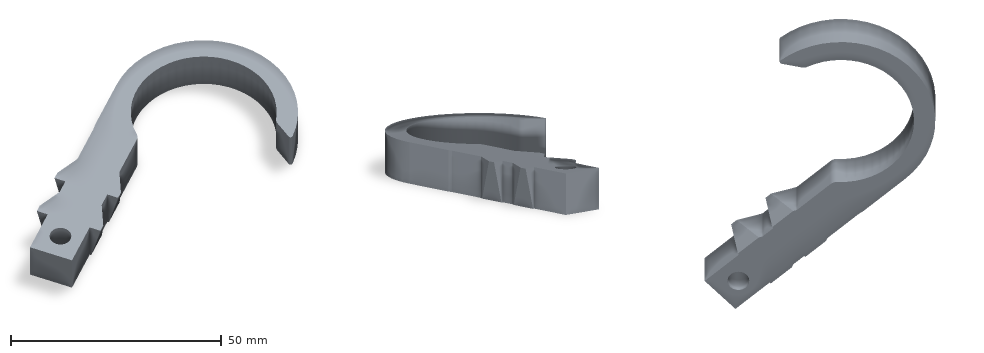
import cadquery as cq
import math

thickness = 10.0
total_length = 77.05
stem_half_width = 5.4

outer_radius = 22.4
inner_radius = 17.3
hook_center_x = 16.9
hook_center_y = total_length - outer_radius
hook_left_x = hook_center_x - outer_radius
hook_right_x = hook_center_x + outer_radius
throat_radius = 2.3
step_top_y = 41.1
step_bottom_y = 39.9
tip_inner_rise = 3.85
tip_radius = 0.55
tip_inner_radius = 1.9

barb_half_width = 8.2
barb_bottom_half_width = 5.8
barb_shoulder_y = 11.1
barb_pitch = 11.1
barb_count = 2
barb_length = 7.55
barb_rim_length = 1.8

hole_diameter = 5.2
hole_y = 5.9


def hook_point(radius, angle):
    """Point on a circle about the hook center."""
    return hook_center_x + radius * math.cos(angle), hook_center_y + radius * math.sin(angle)


def make_body():
    """Stem and hook as one flat plate."""
    throat_x = stem_half_width - throat_radius
    throat_distance = inner_radius + throat_radius
    throat_drop = math.sqrt(throat_distance**2 - (hook_center_x - throat_x) ** 2)
    throat_y = hook_center_y - throat_drop
    throat_angle = math.pi + math.asin(throat_drop / throat_distance)
    throat_mid_angle = (throat_angle - math.pi) / 2
    throat_mid = (
        throat_x + throat_radius * math.cos(throat_mid_angle),
        throat_y + throat_radius * math.sin(throat_mid_angle),
    )
    tip_angle = math.asin(tip_inner_rise / inner_radius)
    tip_inner = hook_point(inner_radius, tip_angle)
    tip_outer = (hook_right_x, hook_center_y)

    body = (
        cq.Workplane("XY")
        .moveTo(-stem_half_width, 0)
        .lineTo(stem_half_width, 0)
        .lineTo(stem_half_width, throat_y)
        .threePointArc(throat_mid, hook_point(inner_radius, throat_angle))
        .threePointArc(hook_point(inner_radius, (throat_angle + tip_angle) / 2), tip_inner)
        .lineTo(*tip_outer)
        .threePointArc((hook_center_x, total_length), (hook_left_x, hook_center_y))
        .lineTo(hook_left_x, step_top_y)
        .lineTo(-stem_half_width, step_bottom_y)
        .close()
        .extrude(thickness)
    )
    for corner, radius in ((tip_outer, tip_radius), (tip_inner, tip_inner_radius)):
        nearest = cq.selectors.NearestToPointSelector((*corner, thickness / 2))
        body = body.edges(nearest).fillet(radius)
    return body


def make_barb(shoulder_y):
    """Pair of barbs across the stem, with inclined outer sides."""
    top_y = shoulder_y + barb_length
    rim_y = shoulder_y + barb_rim_length
    arrow = (
        cq.Workplane("XY")
        .polyline([
            (-barb_half_width, shoulder_y),
            (barb_half_width, shoulder_y),
            (barb_half_width, rim_y),
            (stem_half_width, top_y),
            (-stem_half_width, top_y),
            (-barb_half_width, rim_y),
        ])
        .close()
        .extrude(thickness)
    )
    taper = (
        cq.Workplane("XZ", origin=(0, top_y, 0))
        .polyline([
            (-barb_bottom_half_width, 0),
            (barb_bottom_half_width, 0),
            (barb_half_width, thickness),
            (-barb_half_width, thickness),
        ])
        .close()
        .extrude(barb_length)
    )
    return arrow.intersect(taper)


result = make_body()
for index in range(barb_count):
    result = result.union(make_barb(barb_shoulder_y + index * barb_pitch))

hole = cq.Workplane("XY").center(0, hole_y).circle(hole_diameter / 2).extrude(thickness)
result = result.cut(hole)